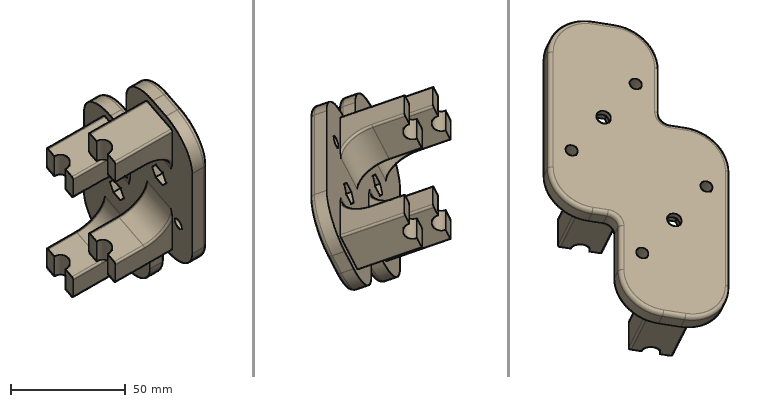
import cadquery as cq

total_width = 82.0
total_height = 148.0
total_depth = 38.3

lobe_width = 50.0
lobe_height = 100.0
lobe_radius = 20.0
plate_thickness = 8.0
inner_corner_radius = 5.0
back_edge_radius = 2.0

post_width = 20.0
post_height = 15.0
post_edge_margin = 5.0
post_root_radius = 15.0
post_edge_radius = 1.0
groove_radius = 4.1
groove_inset = 0.3

bolt_diameter = 6.5
nut_across_corners = 10.7
nut_depth = 5.0
screw_diameter = 5.5
screw_offset_x = 14.5
screw_offset_z = 20.0

overlap = 1.5

step_x = (total_width - lobe_width) / 2
step_z = (total_height - lobe_height) / 2
lobe_centers = [(-step_x, -step_z), (step_x, step_z)]
post_length = total_depth - plate_thickness
post_top = lobe_height / 2 - post_edge_margin
post_bottom = post_top - post_height


def make_lobe(x, z):
    """Rounded rectangle standing in XZ, with its front face on Y = 0."""
    return (
        cq.Workplane("XZ")
        .center(x, z)
        .rect(lobe_width, lobe_height)
        .extrude(-plate_thickness)
        .edges("|Y")
        .fillet(lobe_radius)
    )


def make_plate():
    lower, upper = [make_lobe(x, z) for x, z in lobe_centers]
    plate = lower.union(upper)
    corner_x = lobe_width / 2 - step_x
    corner_z = lobe_height / 2 - step_z
    for side in (-1, 1):
        selector = cq.selectors.NearestToPointSelector(
            (-side * corner_x, plate_thickness / 2, side * corner_z)
        )
        plate = plate.edges("|Y").edges(selector).fillet(inner_corner_radius)
    return plate.faces(">Y").edges().fillet(back_edge_radius)


def make_post():
    """Upper post of a lobe centred on the origin, with a curved root on its lower side."""
    post = (
        cq.Workplane("YZ")
        .moveTo(overlap, post_top)
        .lineTo(-post_length, post_top)
        .lineTo(-post_length, post_bottom)
        .lineTo(-post_root_radius, post_bottom)
        .radiusArc((0, post_bottom - post_root_radius), post_root_radius)
        .lineTo(overlap, post_bottom - post_root_radius)
        .close()
        .extrude(post_width / 2, both=True)
    )
    side_edges = post.faces("<X or >X").edges("(not <Y) and (not >Y)")
    post = side_edges.fillet(post_edge_radius)
    groove = (
        cq.Workplane("XY", origin=(0, groove_inset - post_length, post_bottom))
        .circle(groove_radius)
        .extrude(post_height)
    )
    plate_side = cq.Workplane("XY").box(
        2 * post_width, 2 * overlap, 2 * lobe_height, centered=(True, False, True)
    )
    return post.cut(groove).cut(plate_side)


def make_lobe_holes():
    """Central bolt hole with its nut pocket, and two diagonal screw holes."""
    bolt = cq.Workplane("XZ").circle(bolt_diameter / 2).extrude(-plate_thickness)
    nut = cq.Workplane("XZ").polygon(6, nut_across_corners).extrude(-nut_depth)
    screws = (
        cq.Workplane("XZ")
        .pushPoints([(-screw_offset_x, screw_offset_z), (screw_offset_x, -screw_offset_z)])
        .circle(screw_diameter / 2)
        .extrude(-plate_thickness)
    )
    return bolt.union(nut).union(screws)


result = make_plate()
upper_post = make_post()
lower_post = upper_post.mirror("XY")
holes = make_lobe_holes()
for x, z in lobe_centers:
    position = (x, 0, z)
    for post in (upper_post, lower_post):
        result = result.union(post.translate(position))
    result = result.cut(holes.translate(position))